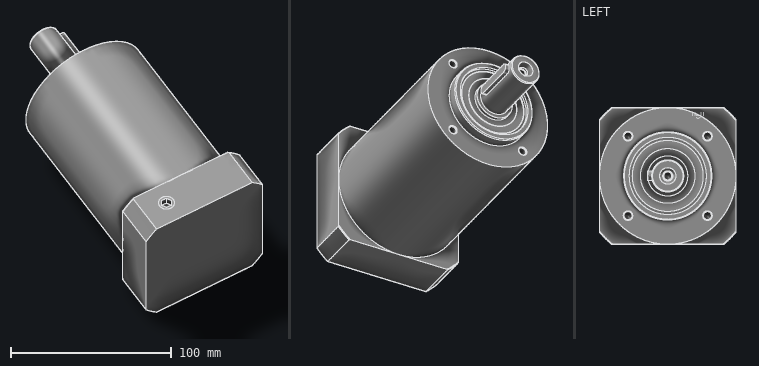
import cadquery as cq
import math

LENGTH = 192.0
FLANGE_SIDE = 85.0
FLANGE_LENGTH = 28.2
FLANGE_CORNER_DIA = 110.0
FLANGE_CORNER_FACE_DIA = 109.2
FLANGE_CORNER_CHAMFER_LENGTH = 0.5
BODY_START = 48.8
FLANGE_START = LENGTH - FLANGE_LENGTH

SHAFT_DIA = 20.0
SHAFT_TIP_DIA = 19.0
SHAFT_TIP_LENGTH = 0.8
SHAFT_HUB_DIA = 25.0
SHAFT_HUB_START = 40.0

PILOT_DIA = 55.0
PILOT_START = 40.7
PILOT_FACE_DIA = 54.0
PILOT_CHAMFER_LENGTH = 1.0
RECESS_DIA = 48.0
GROOVE_DEPTH = 2.1
SEAL_DIA = 44.2
SEAL_DEPTH = 1.5
SEAL_LIP_DIA = 34.0
SEAL_LIP_DEPTH = 2.0

KEY_WIDTH = 6.0
KEY_START = 3.0
KEY_LENGTH = 32.0
KEY_TOP = 12.5

CENTRE_MOUTH_DIA = 10.2
CENTRE_CLEARANCE_DIA = 6.3
CENTRE_TAP_DIA = 5.0
CENTRE_MOUTH_ANGLE = 60.0
CENTRE_CLEARANCE_DEPTH = 5.0
CENTRE_TAP_DEPTH = 15.4

MOUNT_CIRCLE_DIA = 69.9
MOUNT_HOLE_COUNT = 4
MOUNT_MOUTH_DIA = 6.0
MOUNT_TAP_DIA = 5.0
MOUNT_TAP_DEPTH = 15.4

SCREW_X = 177.6
SCREW_Y = -18.8
SCREW_DIA = 10.0
SCREW_SOCKET_FLATS = 6.1
SCREW_SOCKET_DEPTH = 5.0
SCREW_SINK = 0.1

HEXAGON_SIDES = 6
DRILL_POINT_ANGLE = 118.0


def cylinder_x(start, end, diameter):
    """Solid cylinder on the X axis between two stations."""
    return cq.Workplane("YZ", origin=(start, 0, 0)).circle(diameter / 2).extrude(end - start)


def revolve_x(points):
    """Solid of revolution about the X axis from (station, radius) points."""
    return cq.Workplane("XY").polyline(points).close().revolve(360, (0, 0, 0), (1, 0, 0))


def chamfered_cylinder_x(start, end, diameter, face_dia, chamfer_length):
    """Cylinder on the X axis whose starting edge is bevelled down to face_dia."""
    return revolve_x([
        (start, 0),
        (start, face_dia / 2),
        (start + chamfer_length, diameter / 2),
        (end, diameter / 2),
        (end, 0),
    ])


def drill_tip(diameter):
    """Height of the cone left by a drill point."""
    return diameter / 2 / math.tan(math.radians(DRILL_POINT_ANGLE / 2))


def make_flange():
    """Square plate whose corners are turned to a circle and bevelled at the front."""
    square = cq.Workplane("YZ", origin=(FLANGE_START, 0, 0)).rect(FLANGE_SIDE, FLANGE_SIDE)
    turned = chamfered_cylinder_x(
        FLANGE_START,
        LENGTH,
        FLANGE_CORNER_DIA,
        FLANGE_CORNER_FACE_DIA,
        FLANGE_CORNER_CHAMFER_LENGTH,
    )
    return square.extrude(FLANGE_LENGTH).intersect(turned)


def make_pilot():
    pilot = chamfered_cylinder_x(
        PILOT_START,
        BODY_START,
        PILOT_DIA,
        PILOT_FACE_DIA,
        PILOT_CHAMFER_LENGTH,
    )
    groove_floor = PILOT_START + GROOVE_DEPTH
    seal_face = PILOT_START + SEAL_DEPTH
    lip_floor = PILOT_START + SEAL_LIP_DEPTH
    recess = revolve_x([
        (PILOT_START, 0),
        (PILOT_START, RECESS_DIA / 2),
        (groove_floor, RECESS_DIA / 2),
        (groove_floor, SEAL_DIA / 2),
        (seal_face, SEAL_DIA / 2),
        (seal_face, SEAL_LIP_DIA / 2),
        (lip_floor, SEAL_LIP_DIA / 2),
        (lip_floor, 0),
    ])
    return pilot.cut(recess)


def make_shaft():
    shaft = chamfered_cylinder_x(0, BODY_START, SHAFT_DIA, SHAFT_TIP_DIA, SHAFT_TIP_LENGTH)
    return shaft.union(cylinder_x(SHAFT_HUB_START, BODY_START, SHAFT_HUB_DIA))


def make_key():
    plan = cq.Workplane("XZ", origin=(KEY_START + KEY_LENGTH / 2, 0, 0))
    return plan.slot2D(KEY_LENGTH, KEY_WIDTH).extrude(-KEY_TOP)


def centre_hole():
    mouth_width = (CENTRE_MOUTH_DIA - CENTRE_CLEARANCE_DIA) / 2
    mouth_depth = mouth_width / math.tan(math.radians(CENTRE_MOUTH_ANGLE / 2))
    return revolve_x([
        (0, 0),
        (0, CENTRE_MOUTH_DIA / 2),
        (mouth_depth, CENTRE_CLEARANCE_DIA / 2),
        (CENTRE_CLEARANCE_DEPTH, CENTRE_CLEARANCE_DIA / 2),
        (CENTRE_CLEARANCE_DEPTH, CENTRE_TAP_DIA / 2),
        (CENTRE_TAP_DEPTH, CENTRE_TAP_DIA / 2),
        (CENTRE_TAP_DEPTH + drill_tip(CENTRE_TAP_DIA), 0),
    ])


def mounting_holes():
    sink_depth = (MOUNT_MOUTH_DIA - MOUNT_TAP_DIA) / 2
    hole = revolve_x([
        (0, 0),
        (0, MOUNT_MOUTH_DIA / 2),
        (sink_depth, MOUNT_TAP_DIA / 2),
        (MOUNT_TAP_DEPTH, MOUNT_TAP_DIA / 2),
        (MOUNT_TAP_DEPTH + drill_tip(MOUNT_TAP_DIA), 0),
    ])
    hole = hole.translate((BODY_START, 0, MOUNT_CIRCLE_DIA / 2))
    holes = cq.Workplane("XY")
    for index in range(MOUNT_HOLE_COUNT):
        angle = (index + 0.5) * 360 / MOUNT_HOLE_COUNT
        holes = holes.add(hole.rotate((0, 0, 0), (1, 0, 0), angle))
    return holes.combine()


def clamp_screw_socket():
    """Slightly sunk screw face with a hexagon socket that ends in a drill point."""
    corner_dia = SCREW_SOCKET_FLATS / math.cos(math.pi / HEXAGON_SIDES)
    top = cq.Workplane("XY", origin=(SCREW_X, SCREW_Y, FLANGE_SIDE / 2))
    turned_top = top.transformed(rotate=(0, 0, 180 / HEXAGON_SIDES))
    hexagon = turned_top.polygon(HEXAGON_SIDES, corner_dia).extrude(-SCREW_SOCKET_DEPTH)
    sunk_face = top.circle(SCREW_DIA / 2).extrude(-SCREW_SINK)
    tip = cq.Solid.makeCone(
        SCREW_SOCKET_FLATS / 2, 0, drill_tip(SCREW_SOCKET_FLATS),
        pnt=cq.Vector(SCREW_X, SCREW_Y, FLANGE_SIDE / 2 - SCREW_SOCKET_DEPTH),
        dir=cq.Vector(0, 0, -1),
    )
    return hexagon.union(cq.Workplane(tip)).union(sunk_face)


body = cylinder_x(BODY_START, FLANGE_START, FLANGE_SIDE)
result = (
    body.union(make_flange())
    .union(make_pilot())
    .union(make_shaft())
    .union(make_key())
    .cut(centre_hole())
    .cut(mounting_holes())
    .cut(clamp_screw_socket())
)